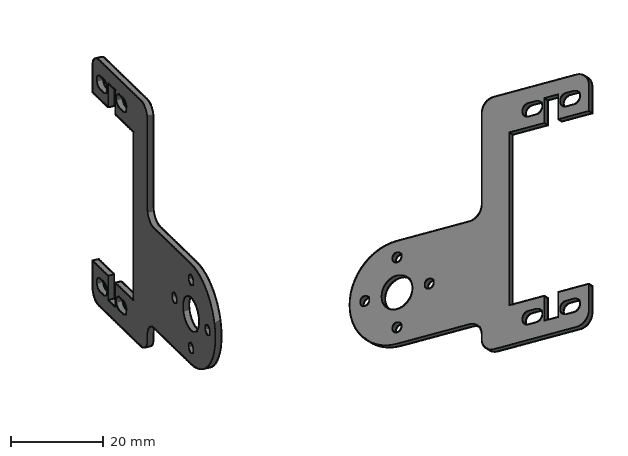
import cadquery as cq

thickness = 1.524
total_length = 62.03
total_height = 60.325
corner_radius = 3.175

bracket_width = 27.78
arm_height = 9.525
spine_width = 7.14
opening_depth = bracket_width - spine_width
opening_height = total_height - 2 * arm_height

lug_radius = 12.3
lug_center_x = total_length - lug_radius
lug_center_z = 19.85

shaft_hole_diameter = 8.0
screw_hole_diameter = 2.38
screw_circle_diameter = 16.7
screw_count = 4

notch_center_x = 9.75
notch_width = 3.57
notch_depth = 5.95
slot_length = 5.16
slot_height = 3.2
slot_spacing = 9.8
slot_edge_distance = 5.33


def through_box(x_min, z_min, width, height):
    """Box through the plate thickness, placed by its lower left corner."""
    return cq.Workplane("XY").box(width, thickness, height, centered=False).translate((x_min, 0, z_min))


def face_plane(x, z):
    """Workplane on the plate's Y = 0 face; extruding by -thickness goes towards +Y."""
    return cq.Workplane("XZ").center(x, z)


def make_bracket():
    """Full rectangle of the bracket with rounded outer corners."""
    bracket = through_box(0, 0, bracket_width, total_height)
    return bracket.edges("|Y").fillet(corner_radius)


def make_lug():
    """Straight-sided lug starting at the inner side of the spine and ending in a half circle."""
    lug_start_x = opening_depth
    arm = through_box(lug_start_x, lug_center_z - lug_radius, lug_center_x - lug_start_x, 2 * lug_radius)
    round_end = face_plane(lug_center_x, lug_center_z).circle(lug_radius).extrude(-thickness)
    return arm.union(round_end)


def fillet_lug_root(plate):
    """Round the two inner corners where the lug leaves the spine."""
    for side in (-1, 1):
        root = (bracket_width, thickness / 2, lug_center_z + side * lug_radius)
        plate = plate.edges(cq.selectors.NearestToPointSelector(root)).fillet(corner_radius)
    return plate


def cut_opening(plate):
    """Remove the space between the arms."""
    return plate.cut(through_box(0, arm_height, opening_depth, opening_height))


def cut_arm_features(plate):
    """Notch and slot pair in each arm, mirrored about the middle of the bracket."""
    notch_x = notch_center_x - notch_width / 2
    notch_bottoms = (arm_height - notch_depth, total_height - arm_height)
    slot_heights = (slot_edge_distance, total_height - slot_edge_distance)
    for notch_z, slot_z in zip(notch_bottoms, slot_heights):
        plate = plate.cut(through_box(notch_x, notch_z, notch_width, notch_depth))
        slots = (
            face_plane(notch_center_x, slot_z)
            .rarray(slot_spacing, 1, 2, 1)
            .slot2D(slot_length, slot_height)
            .extrude(-thickness)
        )
        plate = plate.cut(slots)
    return plate


def cut_motor_holes(plate):
    """Shaft hole and its ring of screw holes, concentric with the lug end."""
    lug_center = face_plane(lug_center_x, lug_center_z)
    shaft_hole = lug_center.circle(shaft_hole_diameter / 2).extrude(-thickness)
    screw_holes = (
        lug_center.polarArray(screw_circle_diameter / 2, 0, 360, screw_count)
        .circle(screw_hole_diameter / 2)
        .extrude(-thickness)
    )
    return plate.cut(shaft_hole).cut(screw_holes)


plate = make_bracket().union(make_lug())
plate = fillet_lug_root(plate)
plate = cut_opening(plate)
plate = cut_arm_features(plate)
result = cut_motor_holes(plate)